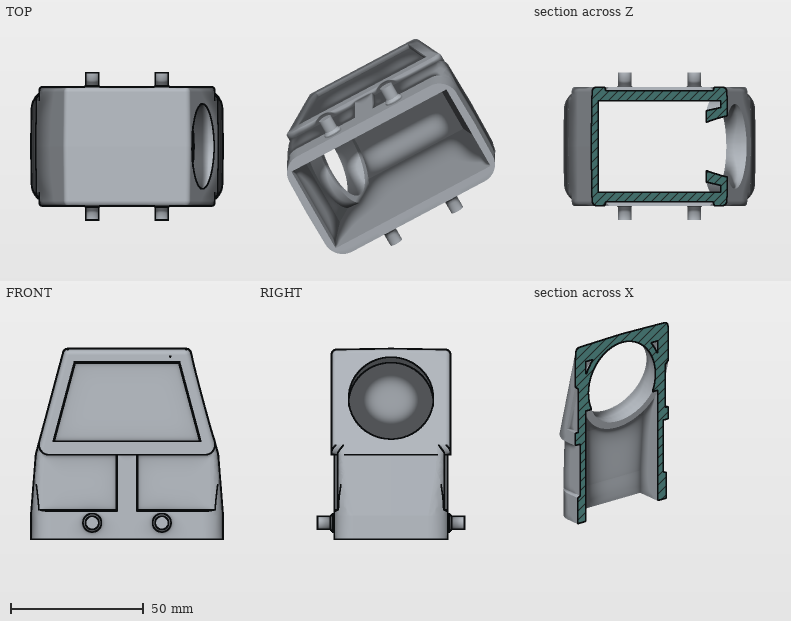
import cadquery as cq
import math

LENGTH = 72.6
HEIGHT = 72.0
PIN_SPAN = 55.6

PARTING_DRAFT = 1.0

SKIRT_HALF_WIDTH = 21.4
BAND_HEIGHT = 9.1
BAND_CORNER_RADIUS = 7.5
SKIRT_TOP_CORNER_RADIUS = 3.6

HOOD_BASE = 31.95
HOOD_HALF_WIDTH = 22.5
HOOD_BASE_HALF_LENGTH = 34.5
END_SLOPE = 15.0
HOOD_FILLET = 2.0
SIDE_PLATE_HALF_LENGTH = 33.1
SIDE_PLATE_RADIUS = 3.5

PANEL_HALF_WIDTH = 20.1
PANEL_BOTTOM = 11.1
PANEL_DRAFT = 22.0
PANEL_TOP_CORNER_RADIUS = 3.0
PANEL_LOW_CORNER_RADIUS = 4.15
PANEL_CORNER_LENGTH = 10.9
PANEL_CORNER_INSET = 5.8
RIB_HALF_FOOT = 4.15

WINDOW_BOTTOM = 37.1
WINDOW_TOP = 66.95
WINDOW_HALF_BASE = 27.8
WINDOW_DEPTH = 1.45
WINDOW_TOP_LEAN = 0.6
WINDOW_SIDE_LEAN = 0.35

PIN_X = 13.15
PIN_Z = 6.25
PIN_DIAMETER = 5.0
COLLAR_DIAMETER = 7.0
COLLAR_RIM = 0.5

WALL = 2.9
BORE_DIAMETER = 32.0
BORE_DEPTH = 8.0
BORE_Z = 53.3

MARGIN = 7.25

SLOPE_TAN = math.tan(math.radians(END_SLOPE))
HALF_LENGTH = LENGTH / 2


def hood_half_length(z):
    """Half length of the hood in the parting plane at height z."""
    return HOOD_BASE_HALF_LENGTH - (z - HOOD_BASE) * SLOPE_TAN


def both_sides(half):
    """Join a half on one side with its mirror image across the parting plane."""
    return half.union(half.mirror("XZ"))


def side_plane(y):
    """Sketch plane at the given y, with local axes -X and Z and normal +Y."""
    return cq.Workplane(cq.Plane(origin=(0, y, 0), xDir=(-1, 0, 0), normal=(0, 1, 0)))


def trapezoid(plane, z_low, half_low, z_high, half_high):
    """Symmetric trapezoid given by the half lengths of its lower and upper sides."""
    return plane.polyline(
        [(-half_low, z_low), (half_low, z_low), (half_high, z_high), (-half_high, z_high)]
    ).close()


def plan_prism(z, height, half_length, half_width, radius):
    """Upright prism whose ends bow out at Y = 0 by the draft, with rounded corners."""
    corner_x = half_length - half_width * math.tan(math.radians(PARTING_DRAFT))
    outline = [
        (half_length, 0), (corner_x, half_width), (-corner_x, half_width),
        (-half_length, 0), (-corner_x, -half_width), (corner_x, -half_width),
    ]
    prism = cq.Workplane("XY", origin=(0, 0, z)).polyline(outline).close().extrude(height)
    return prism.edges("|Z").edges(">Y or <Y").fillet(radius)


def plan_loft(low, high, half_width):
    """Loft between two rounded plans, each given as (z, half length, corner radius)."""
    plans = [
        plan_prism(z, 0.7, half_length, half_width, radius) for z, half_length, radius in (low, high)
    ]
    wires = [plan.faces("<Z").wires().val() for plan in plans]
    return cq.Workplane(cq.Solid.makeLoft(wires, True))


def skirt_loft(half_width, low_radius, high_radius):
    """Tapered skirt from the band top to the hood base."""
    low = (BAND_HEIGHT, HALF_LENGTH, low_radius)
    high = (HOOD_BASE, HOOD_BASE_HALF_LENGTH, high_radius)
    return plan_loft(low, high, half_width)


def make_envelope():
    """Tapered trapezoid with rounded upper and side edges, run on below the hood base."""
    low = HOOD_BASE - MARGIN
    profile = trapezoid(
        side_plane(0), low, hood_half_length(low), HEIGHT, hood_half_length(HEIGHT)
    )
    half = profile.extrude(HOOD_HALF_WIDTH, taper=PARTING_DRAFT)
    side_edges = half.faces(">Y").edges("not <Z")
    roof_end_edges = half.faces(">Z").edges("not |X")
    return both_sides(side_edges.add(roof_end_edges).fillet(HOOD_FILLET))


def make_hood(envelope):
    """Envelope above the hood base, its side plates cut short and rounded at the lower ends."""
    plates = (
        cq.Workplane("XY", origin=(0, 0, HOOD_BASE))
        .rect(2 * SIDE_PLATE_HALF_LENGTH, 2 * HOOD_HALF_WIDTH + MARGIN)
        .extrude(HEIGHT)
        .faces("<Z").edges("|Y").fillet(SIDE_PLATE_RADIUS)
    )
    core_top = HOOD_BASE + MARGIN
    core = plan_loft(
        (HOOD_BASE, HOOD_BASE_HALF_LENGTH, PANEL_TOP_CORNER_RADIUS),
        (core_top, hood_half_length(core_top), PANEL_TOP_CORNER_RADIUS),
        PANEL_HALF_WIDTH,
    )
    return envelope.intersect(plates.union(core))


def make_skirt():
    """Straight band and tapered upper part, whose corner radius shrinks with height."""
    band = plan_prism(0, BAND_HEIGHT, HALF_LENGTH, SKIRT_HALF_WIDTH, BAND_CORNER_RADIUS)
    return band.union(skirt_loft(SKIRT_HALF_WIDTH, BAND_CORNER_RADIUS, SKIRT_TOP_CORNER_RADIUS))


def make_panel_cutter():
    """Cutter for the +X +Y panel: drafted walls on the side, wrapping round the skirt corner."""
    height = HOOD_BASE - PANEL_BOTTOM + MARGIN
    outer_x = HALF_LENGTH + MARGIN
    face = (
        side_plane(PANEL_HALF_WIDTH)
        .moveTo(-(RIB_HALF_FOOT + outer_x) / 2, PANEL_BOTTOM + height / 2)
        .rect(outer_x - RIB_HALF_FOOT, height)
        .extrude(SKIRT_HALF_WIDTH - PANEL_HALF_WIDTH, taper=-PANEL_DRAFT)
    )
    corner_x = HALF_LENGTH - PANEL_CORNER_LENGTH
    corner_y = PANEL_HALF_WIDTH - PANEL_CORNER_INSET
    corner = (
        cq.Workplane("XY", origin=(corner_x, corner_y, PANEL_BOTTOM))
        .box(PANEL_CORNER_LENGTH + MARGIN, PANEL_CORNER_INSET, height, centered=False)
    )
    core = skirt_loft(PANEL_HALF_WIDTH, PANEL_LOW_CORNER_RADIUS, PANEL_TOP_CORNER_RADIUS)
    return face.union(corner).cut(core)


def make_window_cutter():
    """Cutter for the +Y label window, its sloped ends parallel to the hood ends."""
    floor_y = HOOD_HALF_WIDTH - WINDOW_DEPTH
    half_top = WINDOW_HALF_BASE - (WINDOW_TOP - WINDOW_BOTTOM) * SLOPE_TAN
    floor_half_base = WINDOW_HALF_BASE - WINDOW_SIDE_LEAN
    floor_top = WINDOW_TOP - WINDOW_TOP_LEAN
    floor_half_top = floor_half_base - (floor_top - WINDOW_BOTTOM) * SLOPE_TAN
    floor = trapezoid(
        side_plane(floor_y), WINDOW_BOTTOM, floor_half_base, floor_top, floor_half_top
    )
    mouth = trapezoid(
        side_plane(HOOD_HALF_WIDTH), WINDOW_BOTTOM, WINDOW_HALF_BASE, WINDOW_TOP, half_top
    )
    wires = [floor.wires().val(), mouth.wires().val()]
    return cq.Workplane(cq.Solid.makeLoft(wires, True))


def make_pin():
    """Locking pin at +X +Y, revolved about its axis, with a collar coned down to the pin."""
    root = PANEL_HALF_WIDTH - SKIRT_HALF_WIDTH
    pin_radius = PIN_DIAMETER / 2
    collar_radius = COLLAR_DIAMETER / 2
    cone_end = COLLAR_RIM + collar_radius - pin_radius
    tip = PIN_SPAN / 2 - SKIRT_HALF_WIDTH
    outline = [
        (0, root), (collar_radius, root), (collar_radius, COLLAR_RIM),
        (pin_radius, cone_end), (pin_radius, tip), (0, tip),
    ]
    pin = cq.Workplane("XY").polyline(outline).close().revolve(360, (0, 0), (0, 1))
    return pin.translate((PIN_X, SKIRT_HALF_WIDTH, PIN_Z))


def make_cavity():
    """Inside space, open below, that follows the end walls and roof at the wall thickness."""
    roof = HEIGHT - WALL
    half_outline = [
        (HALF_LENGTH - WALL, 0),
        (HALF_LENGTH - WALL, BAND_HEIGHT),
        (HOOD_BASE_HALF_LENGTH - WALL, HOOD_BASE),
        (hood_half_length(roof) - WALL, roof),
    ]
    outline = half_outline + [(-x, z) for x, z in reversed(half_outline)]
    half_width = PANEL_HALF_WIDTH - WALL
    return side_plane(-half_width).polyline(outline).close().extrude(2 * half_width)


def entry_cylinder(diameter, start):
    """Cylinder along the cable entry from `start` (outside the end face) to the bore depth."""
    slope = math.radians(END_SLOPE)
    normal = cq.Vector(math.cos(slope), 0, math.sin(slope))
    mouth = cq.Vector(hood_half_length(BORE_Z), 0, BORE_Z)
    plane = cq.Plane(origin=mouth + normal * start, xDir=(0, 1, 0), normal=-normal)
    return cq.Workplane(plane).circle(diameter / 2).extrude(start + BORE_DEPTH)


envelope = make_envelope()
skirt = make_skirt()
panel = make_panel_cutter()
pin = make_pin()
for side in (panel, panel.mirror("YZ")):
    skirt = skirt.cut(side).cut(side.mirror("XZ"))
window = make_window_cutter()
hood = make_hood(envelope).cut(window).cut(window.mirror("XZ"))

collar = entry_cylinder(BORE_DIAMETER + 2 * WALL, 0).intersect(hood)

result = skirt.union(hood).cut(make_cavity()).union(collar)
result = result.cut(entry_cylinder(BORE_DIAMETER, MARGIN))
for side in (pin, pin.mirror("YZ")):
    result = result.union(side).union(side.mirror("XZ"))